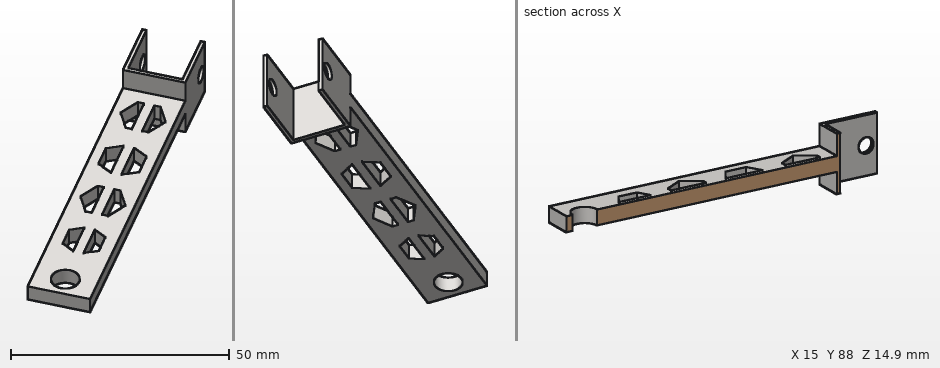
import cadquery as cq

width = 15.0
total_length = 88.0
arm_thickness = 4.0
end_hole_diameter = 6.6
end_hole_y = 5.0

fork_length = 15.0
fork_height = 14.93
fork_wall = 1.0
pin_hole_diameter = 4.0
pin_hole_end_distance = 3.0

rib_width = 2.5
hexagon_sides = 6
corners_sideways = 0
corners_along_arm = 30
windows = [
    (19.3, 10.0, corners_along_arm),
    (33.8, 10.8, corners_sideways),
    (48.8, 11.3, corners_along_arm),
    (64.6, 10.8, corners_sideways),
]

fork_start = total_length - fork_length
fork_floor = fork_start + fork_wall


def box_along_y(size_x, size_z, y_start, y_end):
    """Box centred on X and Z that spans y_start to y_end."""
    return (
        cq.Workplane("XY")
        .box(size_x, y_end - y_start, size_z)
        .translate((0, (y_start + y_end) / 2, 0))
    )


def make_fork():
    """Two side walls joined by a cross wall, open at the far end, with a pin hole through both sides."""
    outside = box_along_y(width, fork_height, fork_start, total_length)
    opening = box_along_y(width - 2 * fork_wall, fork_height, fork_floor, total_length)
    pin_hole = (
        cq.Workplane("YZ")
        .center(total_length - pin_hole_end_distance, 0)
        .circle(pin_hole_diameter / 2)
        .extrude(width / 2, both=True)
    )
    return outside.cut(opening).cut(pin_hole)


def make_window(center_y, diameter, rotation):
    """Hexagonal cutter through the arm, without the rib that divides it."""
    hexagon = (
        cq.Workplane("XY")
        .polygon(hexagon_sides, diameter)
        .extrude(arm_thickness / 2, both=True)
        .rotate((0, 0, 0), (0, 0, 1), rotation)
        .translate((0, center_y, 0))
    )
    rib = box_along_y(rib_width, arm_thickness, center_y - diameter, center_y + diameter)
    return hexagon.cut(rib)


def make_arm():
    """Flat bar with a round hole near its free end and the row of split windows."""
    arm = box_along_y(width, arm_thickness, 0, fork_start)
    end_hole = (
        cq.Workplane("XY")
        .center(0, end_hole_y)
        .circle(end_hole_diameter / 2)
        .extrude(arm_thickness / 2, both=True)
    )
    arm = arm.cut(end_hole)
    for center_y, diameter, rotation in windows:
        arm = arm.cut(make_window(center_y, diameter, rotation))
    return arm


result = make_arm().union(make_fork())